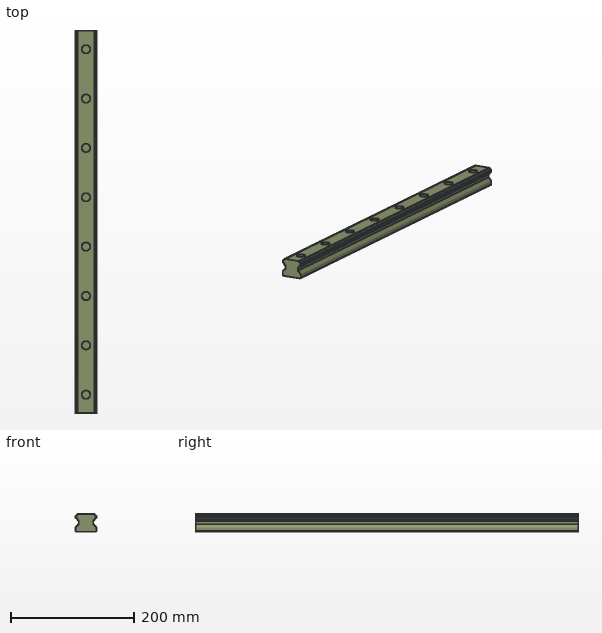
import cadquery as cq
import math

LENGTH = 620.0
WIDTH = 34.0
HEIGHT = 29.0
HALF_WIDTH = WIDTH / 2

FOOT_BEVEL = 1.55
FOOT_SIDE_HEIGHT = 7.5
FOOT_ROUNDING = 1.0

HALF_WAIST = 12.0
WAIST_BOTTOM = FOOT_SIDE_HEIGHT + HALF_WIDTH - HALF_WAIST
WAIST_TOP = 17.5

TRACK_RADIUS = 4.0
TRACK_INSET = 3.0
LOWER_TRACK_BOTTOM = 20.0
NOSE_BOTTOM = 23.0
NOSE_TOP = 25.5
NOSE_BEVEL = 0.5
TOP_FACE_INSET = 4.0
TOP_EDGE_DROP = 0.5
HALF_TRACK = HALF_WIDTH - TRACK_INSET
HALF_TOP_FACE = HALF_WIDTH - TOP_FACE_INSET

CAP_COUNT = 8
CAP_PITCH = 80.0
CAP_DIAMETER = 13.5
CAP_RECESS = 0.5


def half_section():
    """Section of the rail to the right of its centre plane."""
    slope_angle = math.radians(45)
    tangent_length = FOOT_ROUNDING * math.tan(slope_angle / 2)
    rounding_start = (HALF_WIDTH, FOOT_SIDE_HEIGHT - tangent_length)
    rounding_end = (
        HALF_WIDTH - tangent_length * math.sin(slope_angle),
        FOOT_SIDE_HEIGHT + tangent_length * math.cos(slope_angle),
    )
    return (
        cq.Workplane("XZ")
        .lineTo(HALF_WIDTH - FOOT_BEVEL, 0)
        .lineTo(HALF_WIDTH, FOOT_BEVEL)
        .lineTo(*rounding_start)
        .radiusArc(rounding_end, -FOOT_ROUNDING)
        .lineTo(HALF_WAIST, WAIST_BOTTOM)
        .lineTo(HALF_WAIST, WAIST_TOP)
        .lineTo(HALF_TRACK, LOWER_TRACK_BOTTOM)
        .radiusArc((HALF_WIDTH, NOSE_BOTTOM), TRACK_RADIUS)
        .lineTo(HALF_WIDTH, NOSE_TOP)
        .lineTo(HALF_WIDTH - NOSE_BEVEL, NOSE_TOP + NOSE_BEVEL)
        .radiusArc((HALF_TRACK, HEIGHT - TOP_EDGE_DROP), TRACK_RADIUS)
        .lineTo(HALF_TOP_FACE, HEIGHT)
        .lineTo(0, HEIGHT)
        .close()
    )


def rail_body():
    """Half section extruded along Y and mirrored to the other side."""
    right_half = half_section().extrude(LENGTH / 2, both=True)
    left_half = right_half.mirror("YZ")
    return right_half.union(left_half).clean()


def cap_recesses():
    """Row of shallow round recesses in the top face."""
    return (
        cq.Workplane("XY", origin=(0, 0, HEIGHT))
        .rarray(6, CAP_PITCH, 1, CAP_COUNT)
        .circle(CAP_DIAMETER / 2)
        .extrude(-CAP_RECESS)
    )


result = rail_body().cut(cap_recesses())